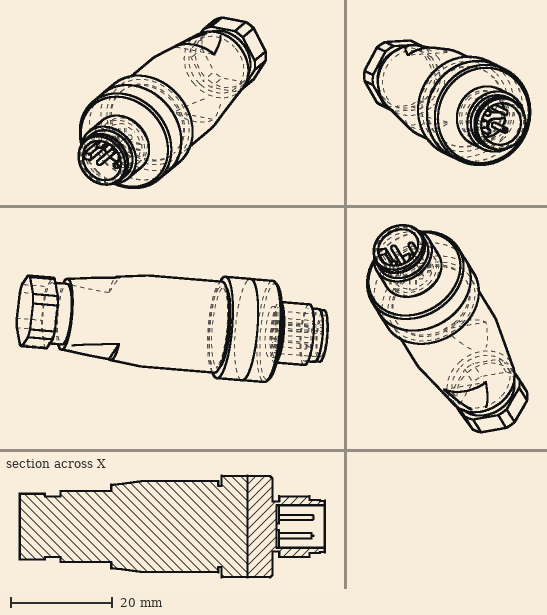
import cadquery as cq
import math

LENGTH = 60.0
THROUGH = 50.0

TIP_LAND_END = 1.0
TIP_END = 3.0
SLEEVE_END = 9.0
RING_START = 10.25
JOINT = 15.25
TIP_LAND_D = 10.2
TIP_D = 10.5
SLEEVE_D = 12.0
NECK_D = 10.0
FRONT_RING_D = 20.0
RING_CHAMFER = 0.5

PIN_D = 1.0
PIN_OFFSET = 1.8
PIN_FRONT = 2.2
PIN_TIP_FILLET = 0.45

SOCKET_D = 8.3
SOCKET_DEPTH = 9.0
CROSS_W = 1.3
CROSS_DEPTH = 0.5
CROSS_FILLET = PIN_OFFSET - CROSS_W / 2
KEY_D = 3.0
KEY_FRONT = 0.6

REAR_RING_END = 20.35
BARREL_START = 20.95
TAPER_START = 35.9
TAPER_END = 52.0
NUT_START = 55.0
REAR_RING_D = 20.05
GROOVE_D = 16.0
BARREL_D = 18.0
TAPER_END_D = 14.0
REAR_NECK_D = 12.0
GRIP_FLAT_START = 42.0
GRIP_FLATS_W = TAPER_END_D

NUT_FLATS_W = 13.0
NUT_CORNER_D = 14.0


def revolve_profile(points):
    """Turn a closed (radius, y) outline about the Y axis."""
    return cq.Workplane("XY").polyline(points).close().revolve(360, (0, 0), (0, 1))


def plane_at(y):
    """XZ workplane at station y; extruding a positive length runs toward +Y."""
    return cq.Workplane(cq.Plane(origin=(0, y, 0), xDir=(-1, 0, 0), normal=(0, 1, 0)))


def rod(diameter, start, end):
    return plane_at(start).circle(diameter / 2).extrude(end - start)


def make_shell():
    ring_r = FRONT_RING_D / 2
    shell = revolve_profile([
        (0, 0),
        (TIP_LAND_D / 2, 0),
        (TIP_LAND_D / 2, TIP_LAND_END),
        (TIP_D / 2, TIP_LAND_END),
        (TIP_D / 2, TIP_END),
        (SLEEVE_D / 2, TIP_END),
        (SLEEVE_D / 2, SLEEVE_END),
        (NECK_D / 2, SLEEVE_END),
        (NECK_D / 2, RING_START),
        (ring_r - RING_CHAMFER, RING_START),
        (ring_r, RING_START + RING_CHAMFER),
        (ring_r, JOINT),
        (0, JOINT),
    ])
    return shell.cut(rod(SOCKET_D, 0, SOCKET_DEPTH))


def make_cross_groove():
    """Four-armed groove in the socket floor, ending at the socket wall."""
    floor = plane_at(SOCKET_DEPTH)
    cross = floor.rect(SOCKET_D, CROSS_W).extrude(CROSS_DEPTH)
    cross = cross.union(floor.rect(CROSS_W, SOCKET_D).extrude(CROSS_DEPTH))
    corner = CROSS_W / 2 + CROSS_FILLET
    inner_edges = cq.selectors.BoxSelector((-corner, 0, -corner), (corner, LENGTH, corner))
    cross = cross.edges("|Y").edges(inner_edges).fillet(CROSS_FILLET)
    return cross.intersect(rod(SOCKET_D, SOCKET_DEPTH, SOCKET_DEPTH + CROSS_DEPTH))


def make_key():
    """Round-nosed key on the -X wall of the socket, as wide as a cross arm."""
    key_end = SOCKET_DEPTH + CROSS_DEPTH
    key_length = key_end - KEY_FRONT
    nose = rod(KEY_D, KEY_FRONT, key_end).translate((-SOCKET_D / 2, 0, 0))
    sides = plane_at(KEY_FRONT).rect(2 * SOCKET_D, CROSS_W).extrude(key_length)
    inside_wall = rod((SOCKET_D + TIP_LAND_D) / 2, KEY_FRONT, key_end)
    return nose.intersect(sides).intersect(inside_wall)


def make_pin(x, z):
    pin = rod(PIN_D, PIN_FRONT, SOCKET_DEPTH + CROSS_DEPTH)
    return pin.faces("<Y").edges().fillet(PIN_TIP_FILLET).translate((x, 0, z))


def make_connector():
    connector = make_shell().cut(make_cross_groove()).union(make_key())
    for x in (-PIN_OFFSET, PIN_OFFSET):
        for z in (-PIN_OFFSET, PIN_OFFSET):
            connector = connector.union(make_pin(x, z))
    return connector


def make_nut():
    corner_to_corner = NUT_FLATS_W / math.cos(math.pi / 6)
    hexagon = plane_at(NUT_START).polygon(6, corner_to_corner).extrude(LENGTH - NUT_START)
    return hexagon.intersect(rod(NUT_CORNER_D, NUT_START, LENGTH))


def make_grip_cutter(side):
    """Block outside one flat of the taper; side is +1 for the top and -1 for the bottom."""
    length = TAPER_END - GRIP_FLAT_START
    block = cq.Workplane("XY").box(THROUGH, length, THROUGH)
    middle_z = side * (GRIP_FLATS_W + THROUGH) / 2
    return block.translate((0, GRIP_FLAT_START + length / 2, middle_z))


def make_housing():
    housing = revolve_profile([
        (0, JOINT),
        (REAR_RING_D / 2, JOINT),
        (REAR_RING_D / 2, REAR_RING_END),
        (GROOVE_D / 2, REAR_RING_END),
        (GROOVE_D / 2, BARREL_START),
        (BARREL_D / 2, BARREL_START),
        (BARREL_D / 2, TAPER_START),
        (TAPER_END_D / 2, TAPER_END),
        (REAR_NECK_D / 2, TAPER_END),
        (REAR_NECK_D / 2, NUT_START),
        (0, NUT_START),
    ])
    for side in (1, -1):
        housing = housing.cut(make_grip_cutter(side))
    return housing.union(make_nut())


connector = make_connector()
housing = make_housing()

result = cq.Compound.makeCompound([connector.val(), housing.val()])